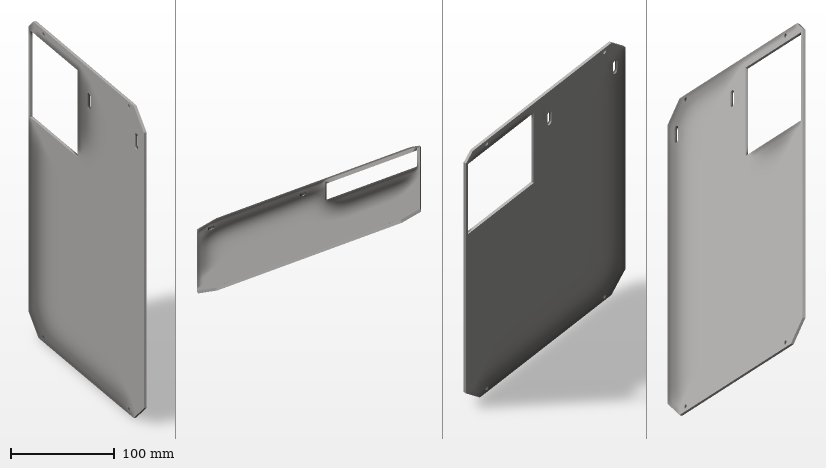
import cadquery as cq

width = 230.0
height = 340.0
thickness = 3.0
half_width = width / 2
half_height = height / 2

small_cut = 10.0
large_cut = 20.0

hole_diameter = 4.0
hole_side_margin = 30.0
hole_end_margin = 5.0

window_size = 94.5
window_side_margin = 3.0
window_top_margin = 12.5

slot_width = 6.0
slot_length = 17.7
slot_top_margin = 27.5
right_slot_margin = 14.5
slot_spacing = 95.0


def plate():
    """Plate with one small and three large corner cuts."""
    outline = [
        (-half_width + large_cut, -half_height),
        (half_width - large_cut, -half_height),
        (half_width, -half_height + large_cut),
        (half_width, half_height - large_cut),
        (half_width - large_cut, half_height),
        (-half_width + small_cut, half_height),
        (-half_width, half_height - small_cut),
        (-half_width, -half_height + large_cut),
    ]
    sketch = cq.Workplane("XZ").polyline(outline).close()
    return sketch.extrude(thickness / 2, both=True)


def drill_holes(body):
    hole_x = half_width - hole_side_margin
    hole_z = half_height - hole_end_margin
    centres = [(x, z) for x in (-hole_x, hole_x) for z in (-hole_z, hole_z)]
    cutter = cq.Workplane("XZ").pushPoints(centres).circle(hole_diameter / 2)
    return body.cut(cutter.extrude(thickness, both=True))


def cut_window(body):
    centre_x = -half_width + window_side_margin + window_size / 2
    centre_z = half_height - window_top_margin - window_size / 2
    cutter = cq.Workplane("XZ").center(centre_x, centre_z).rect(window_size, window_size)
    return body.cut(cutter.extrude(thickness, both=True))


def cut_slots(body):
    right_x = half_width - right_slot_margin
    slot_z = half_height - slot_top_margin - slot_length / 2
    centres = [(right_x - slot_spacing, slot_z), (right_x, slot_z)]
    cutter = cq.Workplane("XZ").pushPoints(centres).slot2D(slot_length, slot_width, 90)
    return body.cut(cutter.extrude(thickness, both=True))


result = cut_slots(cut_window(drill_holes(plate())))